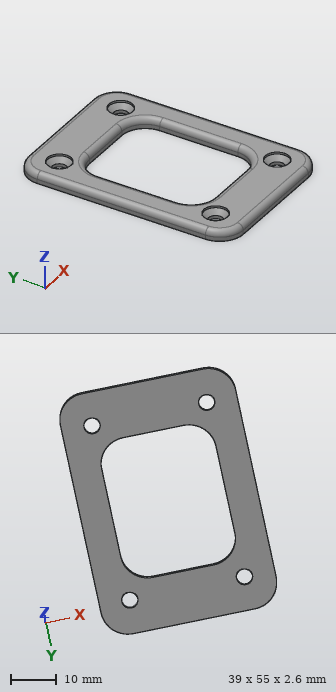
import cadquery as cq

length = 55.0
width = 39.0
thickness = 2.6
corner_radius = 6.0
edge_round = 1.5

window_length = 32.0
window_width = 25.4
window_corner_radius = 6.0

hole_spacing_x = 25.5
hole_spacing_y = 40.0
hole_diameter = 3.5
countersink_diameter = 6.0
recess_depth = 0.5


def rounded_block(size_x, size_y, radius):
    """Block standing on Z = 0 with rounded vertical corners."""
    block = cq.Workplane("XY").rect(size_x, size_y).extrude(thickness)
    return block.edges("|Z").fillet(radius)


plate = rounded_block(width, length, corner_radius)
window = rounded_block(window_width, window_length, window_corner_radius)
frame = plate.cut(window).faces(">Z").edges().fillet(edge_round)

def screw_hole_cutter():
    """Solid of revolution about Z: through hole, cone and straight recess at the top."""
    hole_radius = hole_diameter / 2
    head_radius = countersink_diameter / 2
    cone_top = thickness - recess_depth
    cone_bottom = cone_top - (head_radius - hole_radius)
    return (
        cq.Workplane("XZ")
        .lineTo(hole_radius, 0)
        .lineTo(hole_radius, cone_bottom)
        .lineTo(head_radius, cone_top)
        .lineTo(head_radius, thickness)
        .lineTo(0, thickness)
        .close()
        .revolve(360, (0, 0, 0), (0, 1, 0))
    )


result = frame
for side_x in (-1, 1):
    for side_y in (-1, 1):
        position = (side_x * hole_spacing_x / 2, side_y * hole_spacing_y / 2, 0)
        result = result.cut(screw_hole_cutter().translate(position))